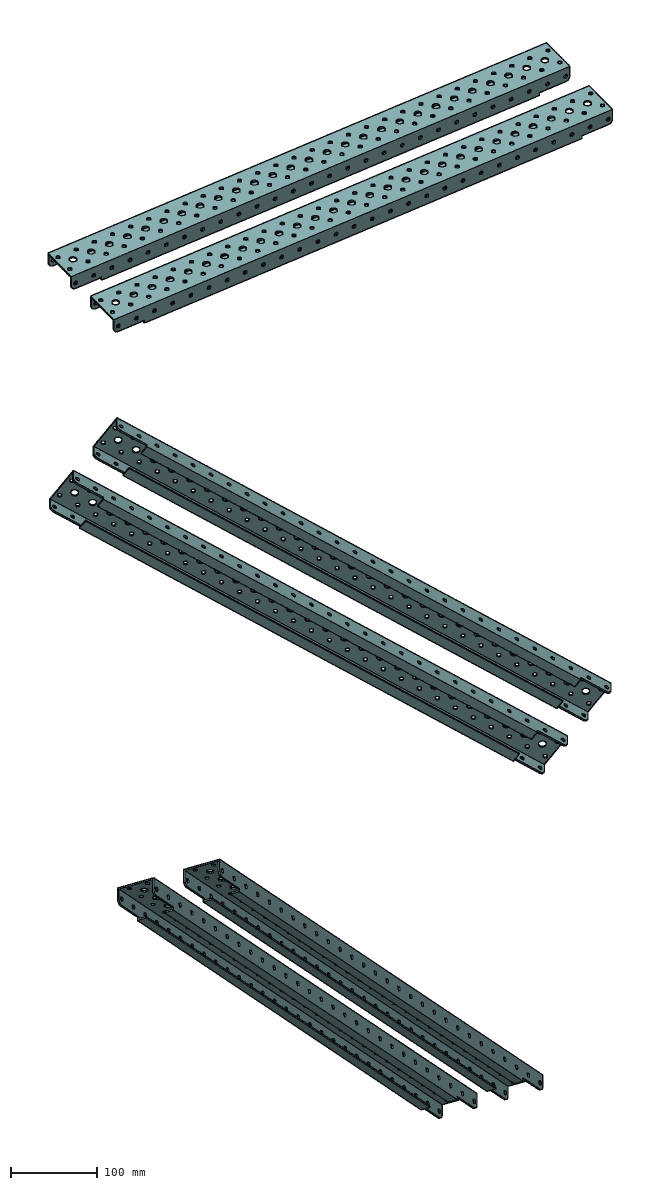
import cadquery as cq
length = 687.0
row_count = 28
end_margin = 6.0
pitch = (length - 2 * end_margin) / (row_count - 1)
small_hole = 5.0
large_hole = 9.0

overall_width = 141.0
channel_width = 2 * pitch
height = pitch
channel_spacing = overall_width - channel_width

sheet = 2.0
lip_width = 12.5

lip_setback = 42.0
notch_height = 4.0
corner_radius = 6.0

half_length = length / 2
wall_hole_z = height / 2


def row_positions(count):
    """Y positions of a row of holes centred on the channel length."""
    return [(i - (count - 1) / 2) * pitch for i in range(count)]


def block(width, depth, tall):
    """Box centred in X and Y, standing on Z = 0."""
    return cq.Workplane("XY").box(width, depth, tall, centered=(True, True, False))


def lipped_profile():
    """Full-length C-section, made from a hollow tube with a slot along its underside."""
    outer = block(channel_width, length, height)
    inner = block(channel_width - 2 * sheet, length, height - 2 * sheet).translate((0, 0, sheet))
    slot = block(channel_width - 2 * lip_width, length, height / 2)
    return outer.cut(inner).cut(slot)


def end_notch(end):
    """Material removed at one end (+1 or -1): the lip and the wall's rounded lower corner."""
    return (
        cq.Workplane("YZ")
        .moveTo(end * (half_length - lip_setback), 0)
        .lineTo(end * half_length, 0)
        .lineTo(end * half_length, notch_height + corner_radius)
        .radiusArc((end * (half_length - corner_radius), notch_height), end * corner_radius)
        .lineTo(end * (half_length - lip_setback), notch_height)
        .close()
        .extrude(channel_width / 2, both=True)
    )


def web_holes():
    """Paired small holes, with a large hole midway between neighbouring pairs."""
    pairs = [(x, y) for x in (-pitch / 2, pitch / 2) for y in row_positions(row_count)]
    centres = [(0, y) for y in row_positions(row_count - 1)]
    web = cq.Workplane("XY").workplane(offset=height - sheet)
    small = web.pushPoints(pairs).circle(small_hole / 2).extrude(sheet)
    large = web.pushPoints(centres).circle(large_hole / 2).extrude(sheet)
    return small.add(large).combine()


def wall_holes():
    """Small holes running straight through both side walls."""
    return (
        cq.Workplane("YZ")
        .pushPoints([(y, wall_hole_z) for y in row_positions(row_count)])
        .circle(small_hole / 2)
        .extrude(channel_width / 2, both=True)
    )


def perforated_channel():
    channel = lipped_profile()
    for end in (-1, 1):
        channel = channel.cut(end_notch(end))
    return channel.cut(web_holes()).cut(wall_holes())


channel = perforated_channel()
channels = [
    channel.translate((side * channel_spacing / 2, 0, 0)).val()
    for side in (-1, 1)
]

result = cq.Compound.makeCompound(channels)